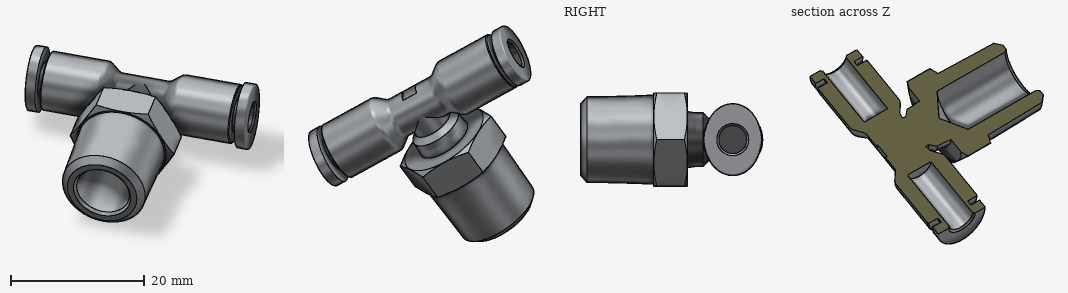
import cadquery as cq
import math


waist_radius = 3.1
body_radius = 4.5
waist_end = 3.93
shoulder_end = 5.77
body_end = 14.7
shoulder_fillet = 1.0
body_edge_chamfer = 0.15

neck_radius = 2.75
collar_start = 15.5
collar_end = 17.1
collar_width = 8.6
collar_height = 10.8
collar_edge_fillet = 0.2

socket_radius = 2.1
socket_mouth_radius = 2.4
socket_mouth_depth = 0.3
socket_bottom = shoulder_end

recess_width = 2.4
recess_depth = 0.3

stem_radius = waist_radius
stem_cone_start = 3.55
stem_collar_radius = 4.05
stem_collar_start = 4.45
stem_flare_start = 5.5
stem_flare_end = 6.65
stem_flare_radius = 4.2

hex_across_flats = 14.0
hex_start = 6.8
hex_end = 11.85
hex_chamfer_angle = 22.0
hex_face_radius = 6.95

thread_end = 22.8
thread_base_radius = 6.7
thread_taper_end_radius = 6.43
thread_tip_chamfer = 0.95
thread_tip_radius = 5.4

bore_radius = 4.1
bore_mouth_radius = 4.45
bore_mouth_depth = 0.5
bore_bottom = 10.0
drill_point_angle = 118.0


def revolve_on_x(points):
    """Revolve an (x, radius) outline about the X axis."""
    return cq.Workplane("XY").polyline(points).close().revolve(360, (0, 0, 0), (1, 0, 0))


def revolve_on_branch(points):
    """Revolve a (radius, distance from the run axis) outline about the branch axis."""
    outline = [(radius, -distance) for radius, distance in points]
    return cq.Workplane("XY").polyline(outline).close().revolve(360, (0, 0, 0), (0, 1, 0))


def make_housing():
    right_side = [
        (waist_end, waist_radius),
        (shoulder_end, body_radius),
        (body_end, body_radius),
        (body_end, 0),
    ]
    left_side = [(-x, radius) for x, radius in reversed(right_side)]
    housing = revolve_on_x(left_side + right_side)
    housing = housing.faces("%CONE").edges("%CIRCLE").fillet(shoulder_fillet)
    return housing.faces("<X or >X").edges().chamfer(body_edge_chamfer)


def make_collar():
    neck = cq.Workplane("YZ").workplane(offset=body_end).circle(neck_radius).extrude(collar_start - body_end)
    collar = (
        cq.Workplane("YZ")
        .workplane(offset=collar_start)
        .ellipse(collar_width / 2, collar_height / 2)
        .extrude(collar_end - collar_start)
        .faces(">X")
        .edges()
        .fillet(collar_edge_fillet)
    )
    return neck.union(collar)


def make_socket():
    return revolve_on_x([
        (socket_bottom, 0),
        (socket_bottom, socket_radius),
        (collar_end - socket_mouth_depth, socket_radius),
        (collar_end, socket_mouth_radius),
        (collar_end, 0),
    ])


def make_recess():
    recess_size = 2 * body_radius
    recess_center = waist_radius - recess_depth + recess_size / 2
    return cq.Workplane("XY").box(recess_width, recess_size, recess_size).translate((0, recess_center, 0))


def make_run():
    collar = make_collar()
    socket = make_socket()
    run = make_housing().union(collar).union(collar.mirror("YZ"))
    return run.cut(socket).cut(socket.mirror("YZ")).cut(make_recess())


def make_stem():
    return revolve_on_branch([
        (0, 0),
        (stem_radius, 0),
        (stem_radius, stem_cone_start),
        (stem_collar_radius, stem_collar_start),
        (stem_collar_radius, stem_flare_start),
        (stem_flare_radius, stem_flare_end),
        (stem_flare_radius, hex_start),
        (0, hex_start),
    ])


def make_hex():
    corner_radius = hex_across_flats / math.sqrt(3)
    prism = (
        cq.Workplane("XZ", origin=(0, -hex_start, 0))
        .polygon(6, 2 * corner_radius)
        .extrude(hex_end - hex_start)
    )
    corner_drop = (corner_radius - hex_face_radius) * math.tan(math.radians(hex_chamfer_angle))
    envelope = revolve_on_branch([
        (0, hex_start),
        (hex_face_radius, hex_start),
        (corner_radius, hex_start + corner_drop),
        (corner_radius, hex_end - corner_drop),
        (hex_face_radius, hex_end),
        (0, hex_end),
    ])
    return prism.intersect(envelope)


def make_thread():
    taper_end = thread_end - thread_tip_chamfer
    return revolve_on_branch([
        (0, hex_end),
        (thread_base_radius, hex_end),
        (thread_taper_end_radius, taper_end),
        (thread_tip_radius, thread_end),
        (0, thread_end),
    ])


def make_bore():
    point_length = bore_radius / math.tan(math.radians(drill_point_angle / 2))
    return revolve_on_branch([
        (0, bore_bottom - point_length),
        (bore_radius, bore_bottom),
        (bore_radius, thread_end - bore_mouth_depth),
        (bore_mouth_radius, thread_end),
        (0, thread_end),
    ])


branch = make_stem().union(make_hex()).union(make_thread()).cut(make_bore())
result = make_run().union(branch)